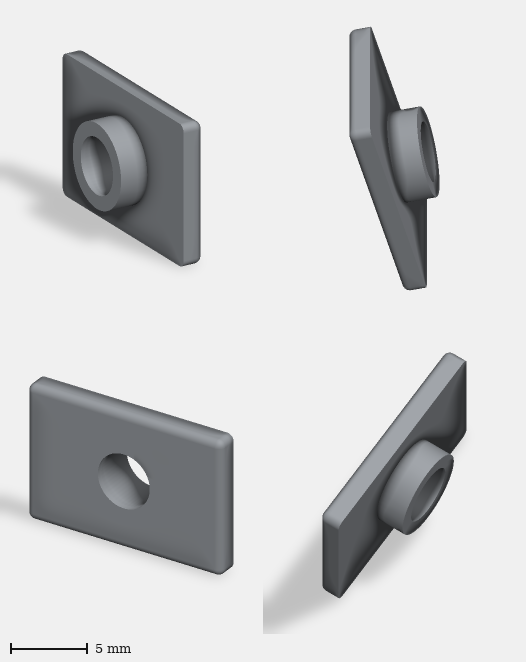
import cadquery as cq

plate_length = 15.0
plate_height = plate_length * 2 / 3
plate_thickness = plate_length / 10
edge_radius = plate_thickness / 3
boss_diameter = plate_length * 0.4
bore_diameter = boss_diameter * 2 / 3
boss_length = bore_diameter / 2


def make_plate():
    """Plate with its front face on Y = 0, rounded corners and a rounded back edge."""
    plate = cq.Workplane("XY").box(
        plate_length, plate_thickness, plate_height, centered=(True, False, True)
    )
    return plate.edges("|Y").fillet(edge_radius).faces(">Y").edges().fillet(edge_radius)


def make_boss():
    """Round boss standing forward from the plate, toward -Y."""
    return cq.Workplane("XZ").circle(boss_diameter / 2).extrude(boss_length)


def make_bore():
    """Cylinder that passes through both the boss and the plate."""
    bore_start = cq.Workplane("XZ", origin=(0, plate_thickness, 0))
    return bore_start.circle(bore_diameter / 2).extrude(plate_thickness + boss_length)


result = make_plate().union(make_boss()).cut(make_bore())